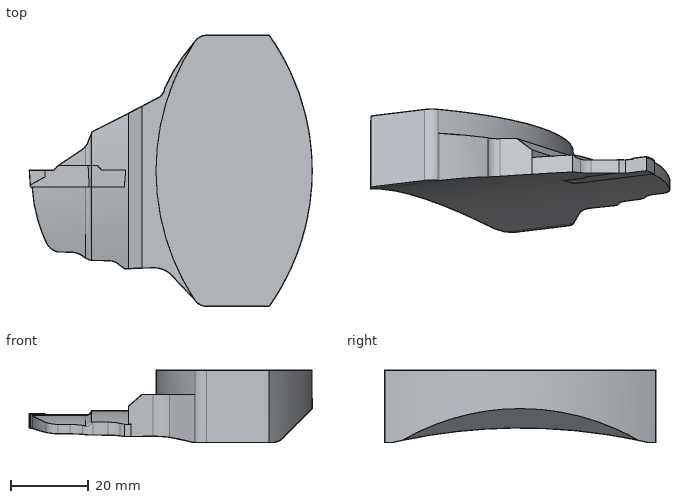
import cadquery as cq
import math


length = 73.1
head_width = 70.0
height = 18.7
head_left = 32.75
lens_radius = 60.7
head_corner_radius = 3.65
rear_chamfer_height = 8.8

shoulder_front = 25.6
shoulder_top = 12.4
shoulder_chamfer = 3.1
shoulder_chamfer_run = 3.5

arch_half_width = 32.9
arch_rise = 3.7
arch_radius = (arch_half_width**2 + arch_rise**2) / (2 * arch_rise)

crown_radius = 102.35
crown_center_y = 1.4
upper_crown = 8.25
lower_crown = 7.2
step_start = 14.55
step_end = 16.1
crown_axis_z = upper_crown - crown_radius
tongue_overlap = 0.7

bar_front_y = -4.25
bar_back_y = 0.15
bar_bulge = 1.25
bar_end = 24.9
bar_end_slant = 0.4
bar_tip_slant = 0.3
bulge_start = 6.3
bulge_end = 18.8
bar_top = 7.25
tip_pad_top = 7.45
tip_pad_length = 4.0
tip_pad_side_y = -1.6
tip_pad_front_y = -3.65
slot_clearance = 0.7

half_width = head_width / 2


def make_head():
    """Intersection of two discs, trimmed to the head width."""
    left_disc = cq.Workplane().center(head_left + lens_radius, 0).circle(lens_radius).extrude(height)
    right_disc = cq.Workplane().center(length - lens_radius, 0).circle(lens_radius).extrude(height)
    strip = cq.Workplane().rect(3 * length, head_width).extrude(height)
    lens = left_disc.intersect(right_disc).intersect(strip)
    front_half = cq.selectors.BoxSelector(
        (head_left, -head_width, 0), ((head_left + length) / 2, head_width, height)
    )
    head = lens.edges("|Z").edges(front_half).fillet(head_corner_radius)
    rear_wedge = (
        cq.Workplane("XZ")
        .moveTo(length - rear_chamfer_height, 0)
        .line(rear_chamfer_height, rear_chamfer_height)
        .line(0, -rear_chamfer_height)
        .close()
        .extrude(half_width, both=True)
    )
    return head.cut(rear_wedge)


def make_shoulder():
    """Flared block that carries the head, with a chamfered front edge."""
    block = (
        cq.Workplane()
        .moveTo(24.6, -25.3)
        .lineTo(32.0, -25.1)
        .threePointArc((34.35, -25.45), (36.25, -26.45))
        .lineTo(42.85, -33.4)
        .lineTo(45.75, -33.4)
        .lineTo(45.75, 33.4)
        .lineTo(42.85, 33.4)
        .threePointArc((38.45, 27.7), (34.95, 21.3))
        .threePointArc((34.3, 19.7), (33.0, 18.7))
        .lineTo(shoulder_front, 14.85)
        .lineTo(24.6, 14.4)
        .close()
        .extrude(shoulder_top)
    )
    profile = (
        cq.Workplane("XZ")
        .moveTo(shoulder_front, 0)
        .lineTo(shoulder_front, shoulder_top - shoulder_chamfer)
        .lineTo(shoulder_front + shoulder_chamfer_run, shoulder_top)
        .lineTo(length, shoulder_top)
        .lineTo(length, 0)
        .close()
        .extrude(half_width, both=True)
    )
    return block.intersect(profile)


def make_crown():
    """Stepped surface of revolution about an axis along X, under which tongue and bar lie."""
    blend_x = step_start + (step_end - step_start) * math.sin(math.pi / 4)
    blend_z = upper_crown - (upper_crown - lower_crown) * math.cos(math.pi / 4)
    return (
        cq.Workplane("XZ", origin=(0, crown_center_y, 0))
        .moveTo(0, crown_axis_z)
        .lineTo(0, lower_crown)
        .lineTo(step_start, lower_crown)
        .threePointArc((blend_x, blend_z), (step_end, upper_crown))
        .lineTo(shoulder_front + tongue_overlap, upper_crown)
        .lineTo(shoulder_front + tongue_overlap, crown_axis_z)
        .close()
        .revolve(360, (0, crown_axis_z), (1, crown_axis_z))
    )


def make_tongue():
    """Scalloped plan outline under the crowned surface."""
    outline = (
        cq.Workplane()
        .moveTo(0.7, bar_front_y)
        .threePointArc((1.9, -11.55), (4.3, -18.35))
        .threePointArc((5.55, -20.0), (7.45, -21.0))
        .lineTo(10.6, -21.05)
        .threePointArc((12.3, -21.3), (13.8, -22.0))
        .threePointArc((15.05, -22.8), (16.45, -23.2))
        .lineTo(20.4, -23.25)
        .threePointArc((22.1, -23.55), (23.4, -24.4))
        .lineTo(24.6, -25.3)
        .lineTo(shoulder_front + tongue_overlap, -25.3)
        .lineTo(shoulder_front + tongue_overlap, 15.2)
        .lineTo(16.2, 10.1)
        .lineTo(15.3, 7.75)
        .threePointArc((14.7, 6.5), (13.5, 5.4))
        .lineTo(bulge_start + bar_bulge, bar_back_y + bar_bulge)
        .lineTo(bulge_start, bar_back_y)
        .lineTo(bulge_start, bar_front_y)
        .close()
        .extrude(height)
    )
    return outline.intersect(make_crown())


def make_arch():
    """Cylinder along X that hollows the underside."""
    return (
        cq.Workplane("YZ")
        .center(0, arch_rise - arch_radius)
        .circle(arch_radius)
        .extrude(length)
    )


def make_bar():
    """Bar with a side bulge, a low flat top, a flush inner part and a raised pad at the tip."""
    plan = (
        cq.Workplane()
        .moveTo(0, bar_back_y)
        .lineTo(bulge_start, bar_back_y)
        .line(bar_bulge, bar_bulge)
        .lineTo(bulge_end - bar_bulge, bar_back_y + bar_bulge)
        .line(bar_bulge, -bar_bulge)
        .lineTo(bar_end, bar_back_y)
        .lineTo(bar_end - bar_end_slant, bar_front_y)
        .lineTo(bar_tip_slant, bar_front_y)
        .close()
        .extrude(height)
    )
    low_part = (
        cq.Workplane()
        .box(bar_end, head_width, bar_top, centered=(False, True, False))
    )
    tip_pad = (
        cq.Workplane()
        .moveTo(0, bar_back_y)
        .lineTo(tip_pad_length, bar_back_y)
        .lineTo(tip_pad_length, tip_pad_side_y)
        .lineTo(bar_tip_slant, tip_pad_front_y)
        .close()
        .extrude(tip_pad_top)
    )
    return plan.intersect(make_crown().union(low_part).union(tip_pad)).cut(make_arch())


bar = make_bar()
bar_slot = bar.union(bar.translate((0, 0, slot_clearance)))
housing = make_head().union(make_shoulder()).union(make_tongue()).cut(make_arch()).cut(bar_slot)

result = cq.Compound.makeCompound([housing.solids().val(), bar.solids().val()])